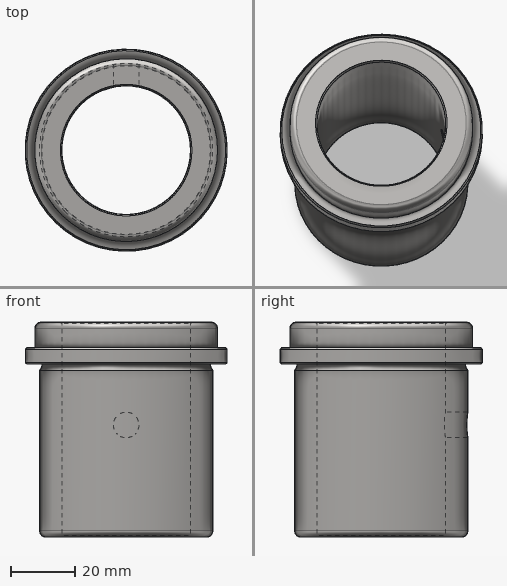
import cadquery as cq
import math

total_height = 67.0
head_height = 8.0
flange_thickness = 5.1
relief_height = 1.95
flange_top = total_height - head_height
flange_bottom = flange_top - flange_thickness
body_top = flange_bottom - relief_height

flange_radius = 31.5
head_radius = 28.5
body_radius = 27.0
bore_radius = 20.0

relief_depth = 0.75

end_fillet = 2.0
small_chamfer = 0.5

side_hole_diameter = 8.0
side_hole_height = 35.0


def cylinder(radius, bottom, top):
    return cq.Workplane("XY").workplane(offset=bottom).circle(radius).extrude(top - bottom)


def make_relief():
    """Neck whose concave arc starts vertical under the flange and flares out to the body."""
    neck_radius = body_radius - relief_depth
    arc_radius = (relief_height**2 + relief_depth**2) / (2 * relief_depth)
    half_angle = math.asin(relief_height / arc_radius) / 2
    arc_middle = (
        neck_radius + arc_radius * (1 - math.cos(half_angle)),
        flange_bottom - arc_radius * math.sin(half_angle),
    )
    return (
        cq.Workplane("XZ")
        .moveTo(0, body_top)
        .lineTo(body_radius, body_top)
        .threePointArc(arc_middle, (neck_radius, flange_bottom))
        .lineTo(0, flange_bottom)
        .close()
        .revolve(360, (0, 0, 0), (0, 1, 0))
    )


def make_bore():
    """Through bore with a small chamfer at both mouths."""
    mouth_radius = bore_radius + small_chamfer
    return (
        cq.Workplane("XZ")
        .moveTo(0, 0)
        .lineTo(mouth_radius, 0)
        .lineTo(bore_radius, small_chamfer)
        .lineTo(bore_radius, total_height - small_chamfer)
        .lineTo(mouth_radius, total_height)
        .lineTo(0, total_height)
        .close()
        .revolve(360, (0, 0, 0), (0, 1, 0))
    )


def make_side_hole():
    """Cutter running from the axis outward along +Y."""
    return (
        cq.Workplane("XZ")
        .center(0, side_hole_height)
        .circle(side_hole_diameter / 2)
        .extrude(-flange_radius)
    )


body = cylinder(body_radius, 0, body_top).faces("<Z").edges().fillet(end_fillet)
flange = cylinder(flange_radius, flange_bottom, flange_top).edges().chamfer(small_chamfer)
head = cylinder(head_radius, flange_top, total_height).faces(">Z").edges().fillet(end_fillet)

outside = body.union(make_relief()).union(flange).union(head)
result = outside.cut(make_bore()).cut(make_side_hole())